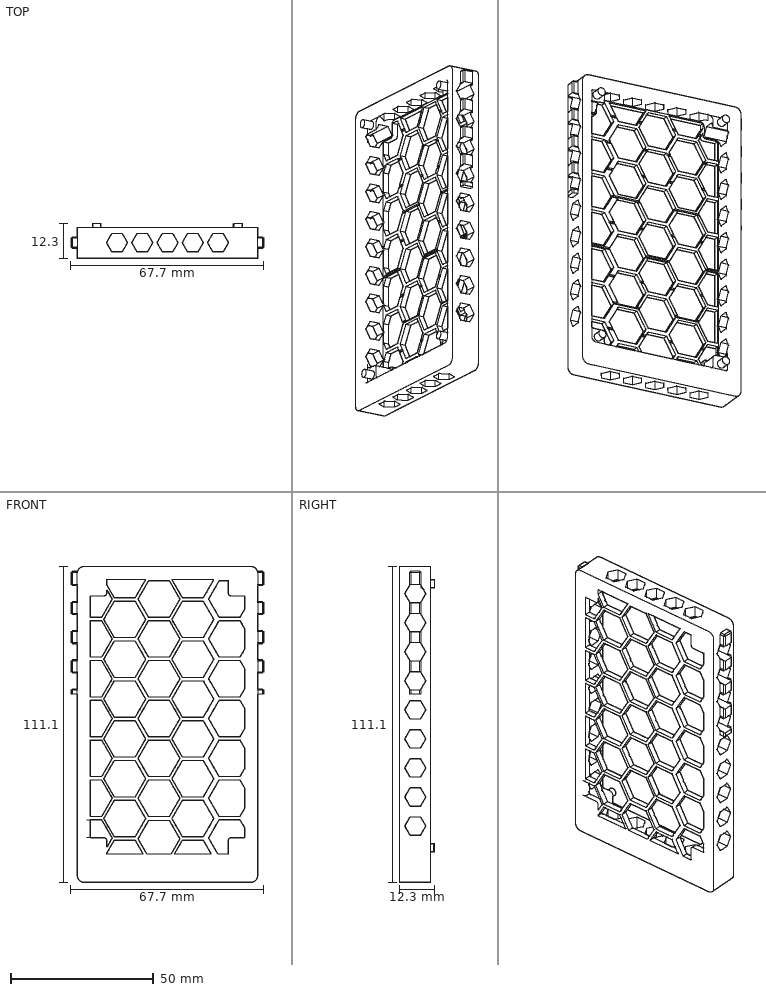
import cadquery as cq
import math

WIDTH = 63.5
DEPTH = 10.92
HEIGHT = 111.12
CORNER_RADIUS = 2.5

SIDE_BORDER = 4.68
BOTTOM_BORDER = 10.03
BLOCK_SIZE = 5.76
FRONT_BLOCK_RADIUS = 1.1
WINDOW_HALF_WIDTH = WIDTH / 2 - SIDE_BORDER
WINDOW_BOTTOM = BOTTOM_BORDER
WINDOW_TOP = HEIGHT - SIDE_BORDER

GRILLE_THICKNESS = 2.1
CHAMBER_SETBACK = 0.45
CHAMBER_BLOCK_RADIUS = 1.4
CHAMBER_CORNER_RADIUS = 1.7
BACK_EDGE_ROUNDING = 1.4
BLOCK_BACK_Y = 8.6

CELL_FLATS = 12.7
CELL_PITCH = 14.0
COLUMN_X = (-26.8, -15.05, -3.0, 8.9, 21.8)
EVEN_COLUMN_TOP_Z = HEIGHT - 11.5
ODD_COLUMN_DROP = 0.15
ODD_COLUMN_TOP_Z = EVEN_COLUMN_TOP_Z + CELL_PITCH / 2 - ODD_COLUMN_DROP
EVEN_COLUMN_CELLS = 7
ODD_COLUMN_CELLS = 8
LOW_CELL_COLUMN = 2
LOW_CELL_DROP = 0.27

NOTCH_RADIUS = 1.2

VENT_FLATS = 6.35
VENT_Y = 5.55
TOP_VENT_COUNT = 5
TOP_VENT_PITCH = 8.88
SIDE_VENT_COUNT = 9
SIDE_VENT_PITCH = 10.21
SIDE_VENT_TOP_Z = HEIGHT - 9.6

OVERALL_WIDTH = 67.69
RIB_WIDTH = 4.1
RIB_TOP_Z = HEIGHT - 1.7
RIB_BOTTOM_Z = HEIGHT - 44.9
RIB_CHAMFER = 0.5

OVERALL_DEPTH = 12.32
PEG_DIAMETER = 2.9
PEG_TOP_Z = HEIGHT - 6.1
PEG_BOTTOM_Z = HEIGHT - 98.9
PEG_X = 24.9
ODD_PEG_X = 24.4
ODD_PEG_SHORTFALL = 0.3

OVERLAP = 1.0

CORNER_REACH = 0.05


def box_between(x_limits, y_limits, z_limits):
    """Box given by its lower and upper limit on each axis."""
    sizes = [upper - lower for lower, upper in (x_limits, y_limits, z_limits)]
    corner = (x_limits[0], y_limits[0], z_limits[0])
    return cq.Workplane("XY").box(*sizes, centered=False).translate(corner)


def hexagon_prism(plane, flats, length):
    """Hexagonal prism on a plane through the origin, two corners on the plane's local x axis."""
    corner_diameter = flats * 2 / math.sqrt(3)
    return cq.Workplane(plane).polygon(6, corner_diameter).extrude(length)


def near(x, z):
    """Selector for edges along Y that pass close to (x, z)."""
    return cq.selectors.BoxSelector(
        (x - CORNER_REACH, -DEPTH, z - CORNER_REACH),
        (x + CORNER_REACH, 2 * DEPTH, z + CORNER_REACH),
    )


def round_corners(solid, corners, radius):
    """Fillet the edges along Y at the given (x, z) corners."""
    for x, z in corners:
        solid = solid.edges("|Y").edges(near(x, z)).fillet(radius)
    return solid


def cross_prism(setback, y_limits):
    """Window outline grown by a setback, and its (x, z) corners on the blocks and beside the walls."""
    half_width = WINDOW_HALF_WIDTH + setback
    bottom = WINDOW_BOTTOM - setback
    top = WINDOW_TOP + setback
    block_x = WINDOW_HALF_WIDTH - BLOCK_SIZE + setback
    block_z = (WINDOW_BOTTOM + BLOCK_SIZE - setback, WINDOW_TOP - BLOCK_SIZE + setback)
    tall = box_between((-block_x, block_x), y_limits, (bottom, top))
    wide = box_between((-half_width, half_width), y_limits, block_z)
    block_corners = [(x, z) for x in (-block_x, block_x) for z in block_z]
    wall_corners = [(x, z) for x in (-half_width, half_width) for z in block_z]
    wall_corners += [(x, z) for x in (-block_x, block_x) for z in (bottom, top)]
    return tall.union(wide), block_corners, wall_corners


def make_window():
    """Front opening, as deep as the grille."""
    prism, block_corners, _ = cross_prism(0, (0, GRILLE_THICKNESS))
    return round_corners(prism, block_corners, FRONT_BLOCK_RADIUS)


def make_chamber():
    """Space behind the grille; behind the blocks it opens out to a full rectangle."""
    prism, block_corners, wall_corners = cross_prism(CHAMBER_SETBACK, (GRILLE_THICKNESS, DEPTH))
    prism = round_corners(prism, block_corners, CHAMBER_BLOCK_RADIUS)
    prism = round_corners(prism, wall_corners, CHAMBER_CORNER_RADIUS)
    half_width = WINDOW_HALF_WIDTH + CHAMBER_SETBACK
    rear = box_between(
        (-half_width, half_width),
        (BLOCK_BACK_Y, DEPTH),
        (WINDOW_BOTTOM - CHAMBER_SETBACK, WINDOW_TOP + CHAMBER_SETBACK),
    )
    return prism.union(rear.edges("|Y").fillet(CHAMBER_CORNER_RADIUS))


def make_frame():
    """Rounded block with the chamber cut in from the back and its rear inner edge rounded."""
    frame = box_between((-WIDTH / 2, WIDTH / 2), (0, DEPTH), (0, HEIGHT))
    frame = frame.edges("|Y").fillet(CORNER_RADIUS).cut(make_chamber())
    inside = cq.selectors.BoxSelector(
        (-WIDTH / 2 + SIDE_BORDER / 2, 0, SIDE_BORDER / 2),
        (WIDTH / 2 - SIDE_BORDER / 2, 2 * DEPTH, HEIGHT - SIDE_BORDER / 2),
        boundingbox=True,
    )
    return frame.faces(">Y").edges(inside).fillet(BACK_EDGE_ROUNDING)


def make_cells():
    """Honeycomb openings, trimmed to the window outline."""
    cell = hexagon_prism("XZ", CELL_FLATS, -GRILLE_THICKNESS)
    cells = cq.Workplane("XY")
    for column, x in enumerate(COLUMN_X):
        is_odd = column % 2 == 1
        top_z = ODD_COLUMN_TOP_Z if is_odd else EVEN_COLUMN_TOP_Z
        count = ODD_COLUMN_CELLS if is_odd else EVEN_COLUMN_CELLS
        for row in range(count):
            z = top_z - row * CELL_PITCH
            if column == LOW_CELL_COLUMN and row == count - 1:
                z -= LOW_CELL_DROP
            cells = cells.union(cell.translate((x, 0, z)))
    return cells.intersect(make_window())


def make_notch():
    """Cut beside the window that leaves the wall edge rounded; it spans from the block to the cell top."""
    bottom_z = WINDOW_BOTTOM + BLOCK_SIZE
    lowest_cell_z = EVEN_COLUMN_TOP_Z - (EVEN_COLUMN_CELLS - 1) * CELL_PITCH
    z_limits = (bottom_z, lowest_cell_z + CELL_FLATS / 2)
    outer_x = -WINDOW_HALF_WIDTH - NOTCH_RADIUS
    notch = box_between((outer_x, -WINDOW_HALF_WIDTH), (0, NOTCH_RADIUS), z_limits)
    rounding = (
        cq.Workplane("XY", origin=(outer_x, NOTCH_RADIUS, z_limits[0]))
        .circle(NOTCH_RADIUS)
        .extrude(z_limits[1] - z_limits[0])
    )
    return notch.cut(rounding)


def make_rib():
    """Grip rib for the +X side; it starts inside the wall."""
    rib = box_between(
        (WIDTH / 2 - OVERLAP, OVERALL_WIDTH / 2),
        (VENT_Y - RIB_WIDTH / 2, VENT_Y + RIB_WIDTH / 2),
        (RIB_BOTTOM_Z, RIB_TOP_Z),
    )
    return rib.edges("(>X and |Z) or (>X and >Z) or (>Z and |X)").chamfer(RIB_CHAMFER)


def make_side_vents():
    """Column of vents passing through both side walls."""
    vent = hexagon_prism("YZ", VENT_FLATS, OVERALL_WIDTH).translate((-OVERALL_WIDTH / 2, VENT_Y, 0))
    vents = cq.Workplane("XY")
    for i in range(SIDE_VENT_COUNT):
        vents = vents.union(vent.translate((0, 0, SIDE_VENT_TOP_Z - i * SIDE_VENT_PITCH)))
    return vents


def make_top_vents():
    """Row of vents passing through the top and bottom walls."""
    vent = hexagon_prism("XY", VENT_FLATS, HEIGHT).translate((0, VENT_Y, 0))
    first_x = -(TOP_VENT_COUNT - 1) / 2 * TOP_VENT_PITCH
    vents = cq.Workplane("XY")
    for i in range(TOP_VENT_COUNT):
        vents = vents.union(vent.translate((first_x + i * TOP_VENT_PITCH, 0, 0)))
    return vents


def make_peg(x, z, tip_y):
    """Round peg rising from inside a corner block to tip_y behind the frame."""
    base_y = BLOCK_BACK_Y - OVERLAP
    return cq.Workplane("XZ").circle(PEG_DIAMETER / 2).extrude(base_y - tip_y).translate((x, base_y, z))


right_rib = make_rib()
result = make_frame().union(right_rib).union(right_rib.mirror("YZ"))
result = result.cut(make_side_vents()).cut(make_top_vents())
result = result.cut(make_cells()).cut(make_notch())
result = result.union(make_peg(-PEG_X, PEG_TOP_Z, OVERALL_DEPTH))
result = result.union(make_peg(-PEG_X, PEG_BOTTOM_Z, OVERALL_DEPTH))
result = result.union(make_peg(PEG_X, PEG_TOP_Z, OVERALL_DEPTH))
result = result.union(make_peg(ODD_PEG_X, PEG_BOTTOM_Z, OVERALL_DEPTH - ODD_PEG_SHORTFALL))